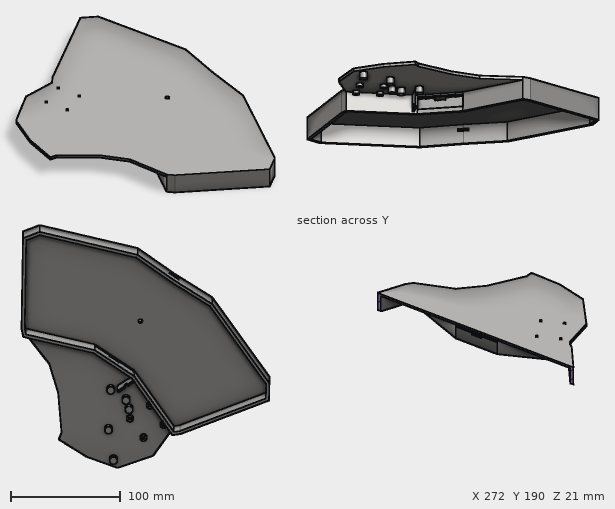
import cadquery as cq
import math

height = 21.0
plate_thickness = 3.0
plate_bottom = height - plate_thickness
overlap = 0.5

back_notch = (0, 54.0)
back_corner = (41.3, 55.2)
shoulder = (127.0, 22.5)
side_tip = (136, 9.0)
side_end = (87.8, -63.0)
wing_tip = (82.3, -68.2)
gap_corner = (21.2, -44.5)
wall_thickness = 3.0

plate_nose = [
    (-82.3, -98.6),
    (-62.2, -126.6),
    (-33.0, -134.0),
    (-3.0, -134.8),
    (-1.5, -128.5),
    (22.8, -98.6),
    (44.8, -80.7),
]

pivot_hole_diameter = 3.5

standoff_corner = (-72.8, -68.5)
standoff_pitch = 22.0
standoff_diameter = 6.0
standoff_length = 3.0
standoff_hole_diameter = 2.1

peg_length = 6.0
peg_diameter = 7.0
peg_positions = [(-54.0, -121.5), (-38.3, -73.6), (-31.0, -68), (-14.0, -68)]
slim_peg_diameter = 6.8
slim_peg_position = (-34.0, -100.3)

sill_height = 4.3
panel_top = 14.0
panel_setback = 0.8
lintel_bottom = 16.0
window_width = 10.0
window_bottom = 12.0

tab_start_x = -25.5
tab_length = 18.0
tab_thickness = 1.5
tab_bottom = 2.0
tab_notch_width = 3.0
tab_notch_top = 6.5
tab_notch_reach = 8.7

wing_slope = (gap_corner[1] - wing_tip[1]) / (wing_tip[0] - gap_corner[0])
wing_angle = math.degrees(math.atan(wing_slope))


def mirrored(point):
    return (-point[0], point[1])


def box(x_range, y_range, z_range):
    sizes = [high - low for low, high in (x_range, y_range, z_range)]
    corner = (x_range[0], y_range[0], z_range[0])
    return cq.Workplane("XY").box(*sizes, centered=False).translate(corner)


right_side = [back_corner, shoulder, side_tip, side_end, wing_tip]
left_side = [mirrored(point) for point in reversed(right_side)]


def make_plate():
    outline = [back_notch] + right_side + plate_nose[::-1] + left_side
    return cq.Workplane("XY").workplane(offset=plate_bottom).polyline(outline).close().extrude(plate_thickness)


def make_walls():
    outline = [back_notch] + right_side + [gap_corner, mirrored(gap_corner)] + left_side
    outer = cq.Workplane("XY").polyline(outline).close().extrude(plate_bottom)
    inner_profile = cq.Workplane("XY").polyline(outline).close().offset2D(-wall_thickness, "intersection")
    inner = inner_profile.extrude(plate_bottom)
    return outer.cut(inner)


def cut_front_gap(walls):
    half_gap = gap_corner[0]
    front = gap_corner[1]
    back = front + wall_thickness
    opening = box((-half_gap, half_gap), (front, back), (panel_top, lintel_bottom))
    setback = box((-half_gap, half_gap), (front, front + panel_setback), (sill_height, panel_top))
    window = box(
        (-window_width / 2, window_width / 2),
        (front, back_corner[1]),
        (window_bottom, panel_top),
    )
    return walls.cut(opening).cut(setback).cut(window)


def make_tab():
    tab = box((0, tab_thickness), (-tab_length, overlap), (tab_bottom, plate_bottom))
    notch_radius = tab_notch_width / 2
    arch_height = tab_notch_top - notch_radius
    notch = box(
        (0, tab_thickness),
        (-tab_notch_reach - notch_radius, -tab_notch_reach + notch_radius),
        (tab_bottom, arch_height),
    )
    arch = (
        cq.Workplane("YZ")
        .center(-tab_notch_reach, arch_height)
        .circle(notch_radius)
        .extrude(tab_thickness)
    )
    tab_start_y = wing_tip[1] + (tab_start_x + wing_tip[0]) * wing_slope
    return (
        tab.cut(notch)
        .cut(arch)
        .rotate((0, 0, 0), (0, 0, 1), wing_angle)
        .translate((tab_start_x, tab_start_y, 0))
    )


def standoff_positions():
    angle = math.radians(wing_angle)
    along = (standoff_pitch * math.cos(angle), standoff_pitch * math.sin(angle))
    across = (along[1], -along[0])
    return [
        (
            standoff_corner[0] + i * along[0] + j * across[0],
            standoff_corner[1] + i * along[1] + j * across[1],
        )
        for i in (0, 1)
        for j in (0, 1)
    ]


def hanging_pins(positions, diameter, length):
    return (
        cq.Workplane("XY")
        .workplane(offset=plate_bottom - length)
        .pushPoints(positions)
        .circle(diameter / 2)
        .extrude(length + overlap)
    )


def through_holes(positions, diameter):
    return cq.Workplane("XY").pushPoints(positions).circle(diameter / 2).extrude(height)


standoffs = standoff_positions()
result = (
    make_plate()
    .union(cut_front_gap(make_walls()))
    .union(make_tab())
    .union(hanging_pins(standoffs, standoff_diameter, standoff_length))
    .union(hanging_pins(peg_positions, peg_diameter, peg_length))
    .union(hanging_pins([slim_peg_position], slim_peg_diameter, peg_length))
    .cut(through_holes(standoffs, standoff_hole_diameter))
    .cut(through_holes([(0, 0)], pivot_hole_diameter))
)